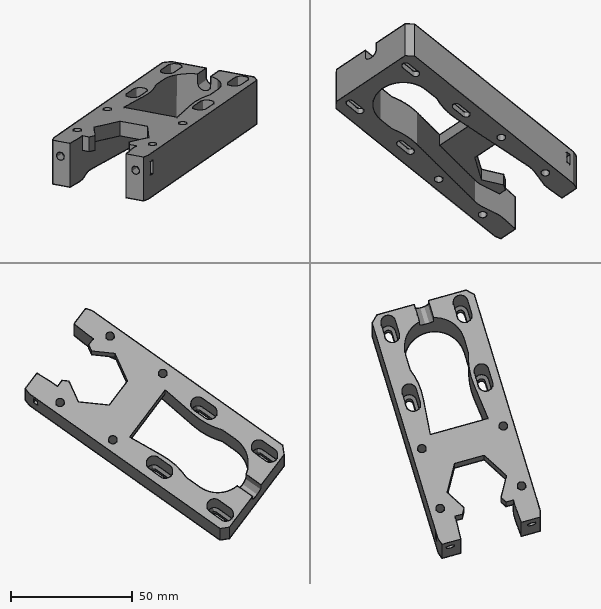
import cadquery as cq
import math

LENGTH = 103.0
WIDTH = 44.0
HEIGHT = 19.5
REAR_CHAMFER = 2.8
FRONT_CHAMFER_X = 0.8
FRONT_CHAMFER_Y = 2.8

WEB_UNDERSIDE = 13.0
WEB_REAR = 47.1

OPENING_RADIUS = 12.6
OPENING_END = 95.6
SHOULDER_Y = 76.2
NECK_HALF_WIDTH = 10.7
NECK_Y = 65.7
TAPER_SLOPE = 0.1
TAPER_FRONT = 20.6
TAPER_CORNER_RADIUS = 12.4
THROAT_REAR = 10.2
MOUTH_DEPTH = 7.1
MOUTH_FLARE = 0.4

HEX_RADIUS = 12.8
HEX_Y = 21.1
LIP_HALF_WIDTH = 7.9
LIP_FLARE = 1.4

CHANNEL_WIDTH = 6.1
CHANNEL_AXIS_Z = 15.6

SLOT_X = 15.6
SLOT_YS = (64.6, 95.6)
SLOT_STRAIGHT = 6.0
SLOT_HEAD_WIDTH = 6.1
SLOT_SHANK_WIDTH = 3.3
SEAT_TOP = 4.6
SEAT_ANGLE = 45.0
SEAT_DEPTH = (SLOT_HEAD_WIDTH - SLOT_SHANK_WIDTH) / 2 / math.tan(math.radians(SEAT_ANGLE))

SCREW_DIAMETER = 3.5
SCREW_X = 17.5
SCREW_YS = (15.1, 42.1)
END_SCREW_Z = 13.0
END_SCREW_DEPTH = 11.8
DRILL_POINT_ANGLE = 118.0
NUT_SLOT_Y = 5.9
NUT_THICKNESS = 2.0
NUT_WIDTH = 6.0
NUT_SLOT_DEPTH = WIDTH / 2 - SCREW_X + NUT_WIDTH / 2

SIDES = (-1, 1)


def mirrored_outline(right_points):
    """Close a right-hand chain of points with its mirror image across X = 0."""
    left_points = [(-x, y) for x, y in reversed(right_points)]
    return cq.Workplane("XY").polyline(right_points + left_points).close()


def block():
    half = WIDTH / 2
    return mirrored_outline([
        (half - FRONT_CHAMFER_X, 0),
        (half, FRONT_CHAMFER_Y),
        (half, LENGTH - REAR_CHAMFER),
        (half - REAR_CHAMFER, LENGTH),
    ]).extrude(HEIGHT)


def opening():
    """Bottle-shaped cavity: arched rear end, curved neck, tapered body, straight throat."""
    shoulder_rise = SHOULDER_Y - NECK_Y
    shoulder_step = OPENING_RADIUS - NECK_HALF_WIDTH
    neck_radius = (shoulder_rise**2 + shoulder_step**2) / (2 * shoulder_step)
    taper_angle = math.atan(TAPER_SLOPE)
    taper_start_x = NECK_HALF_WIDTH + neck_radius * (1 - math.cos(taper_angle))
    taper_start_y = NECK_Y - neck_radius * math.sin(taper_angle)
    taper_front_x = taper_start_x + TAPER_SLOPE * (taper_start_y - TAPER_FRONT)
    arch_y = OPENING_END - OPENING_RADIUS
    return (
        cq.Workplane("XY")
        .moveTo(OPENING_RADIUS + MOUTH_FLARE, 0)
        .lineTo(OPENING_RADIUS, MOUTH_DEPTH)
        .lineTo(OPENING_RADIUS, THROAT_REAR)
        .lineTo(taper_front_x, TAPER_FRONT)
        .lineTo(taper_start_x, taper_start_y)
        .threePointArc((NECK_HALF_WIDTH, NECK_Y), (OPENING_RADIUS, SHOULDER_Y))
        .lineTo(OPENING_RADIUS, arch_y)
        .threePointArc((0, OPENING_END), (-OPENING_RADIUS, arch_y))
        .lineTo(-OPENING_RADIUS, SHOULDER_Y)
        .threePointArc((-NECK_HALF_WIDTH, NECK_Y), (-taper_start_x, taper_start_y))
        .lineTo(-taper_front_x, TAPER_FRONT)
        .lineTo(-OPENING_RADIUS, THROAT_REAR)
        .lineTo(-OPENING_RADIUS, MOUTH_DEPTH)
        .lineTo(-OPENING_RADIUS - MOUTH_FLARE, 0)
        .close()
        .extrude(HEIGHT)
        .edges("|Z and (>X or <X)")
        .fillet(TAPER_CORNER_RADIUS)
    )


def web():
    """Region of the upper plate, which the bottle-shaped opening leaves standing."""
    plate = cq.Workplane("XY", origin=(0, THROAT_REAR, WEB_UNDERSIDE))
    return plate.box(
        WIDTH,
        WEB_REAR - THROAT_REAR,
        HEIGHT - WEB_UNDERSIDE,
        centered=(True, False, False),
    )


def hex_pocket():
    """Hexagon open to the front between two flared lips."""
    hex_slope = math.sqrt(3)
    lip_y = HEX_Y - hex_slope * (HEX_RADIUS - LIP_HALF_WIDTH)
    return mirrored_outline([
        (LIP_HALF_WIDTH + LIP_FLARE, THROAT_REAR),
        (LIP_HALF_WIDTH, lip_y),
        (HEX_RADIUS, HEX_Y),
        (HEX_RADIUS / 2, HEX_Y + hex_slope * HEX_RADIUS / 2),
    ]).extrude(HEIGHT)


def cable_channel():
    """Round-bottomed groove from the rear end into the opening."""
    radius = CHANNEL_WIDTH / 2
    return (
        cq.Workplane("XZ", origin=(0, LENGTH, 0))
        .moveTo(-radius, HEIGHT)
        .lineTo(-radius, CHANNEL_AXIS_Z)
        .threePointArc((0, CHANNEL_AXIS_Z - radius), (radius, CHANNEL_AXIS_Z))
        .lineTo(radius, HEIGHT)
        .close()
        .extrude(OPENING_RADIUS)
    )


def countersunk_slot(x, y):
    """Long slot with a wide upper part, a conical seat and a narrow lower part."""
    def slot_at(z, width):
        plane = cq.Workplane("XY", origin=(x, y, z))
        return plane.slot2D(SLOT_STRAIGHT + width, width, 90)

    head = slot_at(SEAT_TOP, SLOT_HEAD_WIDTH).extrude(HEIGHT - SEAT_TOP)
    seat = slot_at(SEAT_TOP, SLOT_HEAD_WIDTH).extrude(-SEAT_DEPTH, taper=SEAT_ANGLE)
    shank = slot_at(0, SLOT_SHANK_WIDTH).extrude(SEAT_TOP)
    return head.union(seat).union(shank)


def web_screw_hole(x, y):
    return cq.Workplane("XY", origin=(x, y, 0)).circle(SCREW_DIAMETER / 2).extrude(HEIGHT)


def end_screw_hole(x):
    """Blind hole in the front end of an arm, with a drill point."""
    radius = SCREW_DIAMETER / 2
    point_depth = radius / math.tan(math.radians(DRILL_POINT_ANGLE / 2))
    return (
        cq.Workplane("XY", origin=(x, 0, END_SCREW_Z))
        .polyline([
            (0, 0),
            (radius, 0),
            (radius, END_SCREW_DEPTH),
            (0, END_SCREW_DEPTH + point_depth),
        ])
        .close()
        .revolve(360, (0, 0, 0), (0, 1, 0))
    )


def nut_slot(side):
    """Pocket from the outer side of an arm, crossing its end screw hole."""
    x = side * (WIDTH - NUT_SLOT_DEPTH) / 2
    pocket = cq.Workplane("XY").box(NUT_SLOT_DEPTH, NUT_THICKNESS, NUT_WIDTH)
    return pocket.translate((x, NUT_SLOT_Y, END_SCREW_Z))


result = block().cut(opening().cut(web()))
result = result.cut(hex_pocket())
result = result.cut(cable_channel())
for side in SIDES:
    for slot_y in SLOT_YS:
        result = result.cut(countersunk_slot(side * SLOT_X, slot_y))
    for screw_y in SCREW_YS:
        result = result.cut(web_screw_hole(side * SCREW_X, screw_y))
    result = result.cut(end_screw_hole(side * SCREW_X))
    result = result.cut(nut_slot(side))